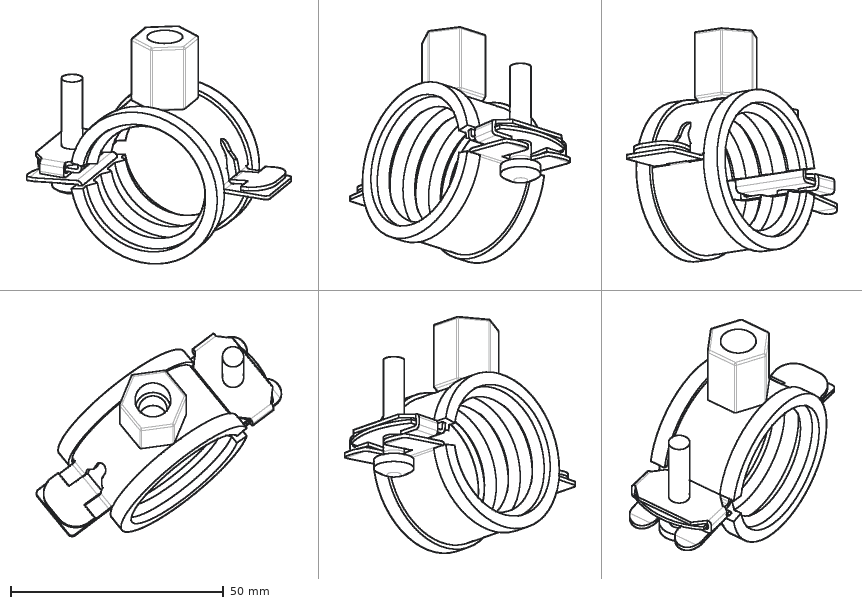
import cadquery as cq
import math

SHEET = 0.95
GAP_ANGLE = 10.0

LINER_WIDTH = 24.0
FLANGE_RADIUS = 19.0
STRAP_RADIUS = 18.0
STRAP_WIDTH = 15.95
STRAP_INNER_RADIUS = STRAP_RADIUS - SHEET
LINER_VALLEY_RADIUS = 15.95
LINER_RIDGE_RADIUS = 14.0
LINER_RIDGES = 3

SCREW_X = -24.0
SCREW_DIAMETER = 5.0
SCREW_TOP = 19.5
THREAD_BOTTOM = -3.8
NECK_TOP = -4.6
NECK_DIAMETER = 4.7
HEAD_TOP = -5.55
HEAD_RIM = -7.6
DOME_RADIUS = 7.5
DOME_FLAT_RADIUS = 1.6
HEAD_DIAMETER = 9.5

NUT_FLATS = 13.85
NUT_LENGTH = 15.95
NUT_EDGE_RADIUS = 0.5
NUT_UPPER_BORE = 8.35
NUT_LOWER_BORE = 6.7

PLATE_BOTTOM = 0.05
PLATE_TOP = PLATE_BOTTOM + SHEET

EAR_WIDTH = 20.1
EAR_END_X = -30.85
EAR_CORNER_X = -28.2
EAR_BEND_RADIUS = 0.5

HINGE_WIDTH = 14.0
HINGE_END_X = 29.95
HINGE_CORNER_RADIUS = 1.1
HINGE_BEND_RADIUS = 0.75

NECK_WIDTH = 5.8
HOOK_TILT = 6.0
HOOK_HEAD_X = 22.8
HOOK_END_X = 29.8
HOOK_CORNER_RADIUS = 5.0
SLOT_END_X = 19.0
KEYHOLE_WIDTH = 3.0
KEYHOLE_TOP = 10.5
KEYHOLE_TAPER_TOP = 7.1
KEYHOLE_TAPER_BOTTOM = 4.6

FINGER_WIDTH = 7.0
FINGER_TILT = 6.0
FINGER_END_X = -32.4
FINGER_BEND_RADIUS = 0.45
FINGER_LENGTH = 12.2
TIP_TILT = 19.0
TIP_LENGTH = 2.5

CLIP_TOP = 2.5
CLIP_LENGTH = 11.85
CLIP_HEIGHT = 3.85
CLIP_WIDTH = 23.1
CLIP_FLAT_WIDTH = 20.8
CLIP_CORNER = 2.8
CLIP_SIDE_LENGTH = 6.25
CLIP_LIP_GAP = 10.9
CLIP_OUTER_BEND = 1.0
CLIP_INNER_BEND = 0.75

TRIM_HEIGHT = 62.35


def polar(radius, angle, centre=(0.0, 0.0)):
    """Point at an angle in degrees around a centre."""
    turn = math.radians(angle)
    return (centre[0] + radius * math.cos(turn), centre[1] + radius * math.sin(turn))


def centred_extrusion(profile, width):
    """Extrude an XZ profile by the same amount to both sides of the XZ plane."""
    return profile.extrude(width / 2, both=True)


def ring_sector(start, end, width):
    """Strap arc between two angles."""
    middle = (start + end) / 2
    profile = (
        cq.Workplane("XZ")
        .moveTo(*polar(STRAP_RADIUS, start))
        .threePointArc(polar(STRAP_RADIUS, middle), polar(STRAP_RADIUS, end))
        .lineTo(*polar(STRAP_INNER_RADIUS, end))
        .threePointArc(polar(STRAP_INNER_RADIUS, middle), polar(STRAP_INNER_RADIUS, start))
        .close()
    )
    return centred_extrusion(profile, width)


def bent_tab(bend_angle, bend_radius, width, length, tilt=0.0, tip_length=0.0, tip_tilt=0.0):
    """Sheet that leaves the ring at bend_angle on the +X side, below the arc it continues.

    It bends outward, runs straight at the tilt and may end in a tip at a second tilt.
    """
    centre = polar(STRAP_RADIUS + bend_radius, bend_angle)
    outer_radius = bend_radius + SHEET
    start = 180 + bend_angle
    end = 270 + tilt
    middle = (start + end) / 2

    near_face = [polar(length, tilt, polar(bend_radius, end, centre))]
    far_face = [polar(SHEET, end, near_face[0])]
    if tip_length:
        half_turn = (tip_tilt - tilt) / 2
        mitre = SHEET / math.cos(math.radians(half_turn))
        far_face = [polar(mitre, end + half_turn, near_face[0])]
        near_face.append(polar(tip_length, tip_tilt, near_face[0]))
        far_face.append(polar(SHEET, 270 + tip_tilt, near_face[1]))

    profile = (
        cq.Workplane("XZ")
        .moveTo(*polar(bend_radius, start, centre))
        .threePointArc(polar(bend_radius, middle, centre), polar(bend_radius, end, centre))
    )
    for point in near_face + far_face[::-1]:
        profile = profile.lineTo(*point)
    profile = (
        profile.lineTo(*polar(outer_radius, end, centre))
        .threePointArc(polar(outer_radius, middle, centre), polar(outer_radius, start, centre))
        .close()
    )
    return centred_extrusion(profile, width)


def plan_prism(outline):
    """Tall vertical prism over a plan outline, for trimming tabs."""
    return outline.extrude(TRIM_HEIGHT, both=True)


def bend_angle_for(face_z, bend_radius):
    """Ring angle where a level tab has to start so that its far face lies at face_z."""
    return math.degrees(math.asin((face_z + bend_radius + SHEET) / (STRAP_RADIUS + bend_radius)))


def make_liner():
    half_width = LINER_WIDTH / 2
    half_strap = STRAP_WIDTH / 2
    pitch = LINER_WIDTH / LINER_RIDGES
    profile = [
        (LINER_VALLEY_RADIUS, half_width),
        (FLANGE_RADIUS, half_width),
        (FLANGE_RADIUS, half_strap),
        (STRAP_INNER_RADIUS, half_strap),
        (STRAP_INNER_RADIUS, -half_strap),
        (FLANGE_RADIUS, -half_strap),
        (FLANGE_RADIUS, -half_width),
        (LINER_VALLEY_RADIUS, -half_width),
    ]
    for ridge in range(LINER_RIDGES):
        ridge_y = -half_width + (ridge + 0.5) * pitch
        profile += [
            (LINER_VALLEY_RADIUS, ridge_y - pitch / 4),
            (LINER_RIDGE_RADIUS, ridge_y),
            (LINER_VALLEY_RADIUS, ridge_y + pitch / 4),
        ]
    ring = cq.Workplane("XY").polyline(profile).close().revolve(360, (0, 0, 0), (0, 1, 0))
    opening = (
        cq.Workplane("XZ")
        .moveTo(0, 0)
        .lineTo(*polar(2 * FLANGE_RADIUS, 180 - GAP_ANGLE))
        .lineTo(*polar(2 * FLANGE_RADIUS, 180 + GAP_ANGLE))
        .close()
    )
    return ring.cut(centred_extrusion(opening, 2 * LINER_WIDTH))


def make_upper_strap():
    ear_angle = bend_angle_for(PLATE_BOTTOM, EAR_BEND_RADIUS)
    hinge_angle = bend_angle_for(PLATE_BOTTOM, HINGE_BEND_RADIUS)

    ear_outline = (
        cq.Workplane("XY")
        .moveTo(0, EAR_WIDTH / 2)
        .lineTo(EAR_CORNER_X, EAR_WIDTH / 2)
        .threePointArc((EAR_END_X, 0), (EAR_CORNER_X, -EAR_WIDTH / 2))
        .lineTo(0, -EAR_WIDTH / 2)
        .close()
    )
    ear = bent_tab(ear_angle, EAR_BEND_RADIUS, EAR_WIDTH, -EAR_END_X).mirror("YZ")
    ear = ear.intersect(plan_prism(ear_outline))
    ear_root = ring_sector(180 - GAP_ANGLE, 180 - ear_angle, EAR_WIDTH)

    hinge_outline = cq.Workplane("XY").rect(2 * HINGE_END_X, HINGE_WIDTH)
    hinge_prism = plan_prism(hinge_outline).edges("|Z").fillet(HINGE_CORNER_RADIUS)
    hinge = bent_tab(hinge_angle, HINGE_BEND_RADIUS, HINGE_WIDTH, HINGE_END_X)
    hinge = hinge.intersect(hinge_prism)

    strap = ring_sector(hinge_angle, 180 - GAP_ANGLE, STRAP_WIDTH)
    strap = strap.union(ear_root).union(ear).union(hinge)
    screw_hole = cq.Workplane("XY").center(SCREW_X, 0).circle(SCREW_DIAMETER / 2)
    return strap.cut(plan_prism(screw_hole)).cut(keyhole())


def keyhole():
    """Slot in the hinge wall that lets the hook through and narrows to a round top."""
    half_neck = NECK_WIDTH / 2
    half_key = KEYHOLE_WIDTH / 2
    return (
        cq.Workplane("YZ")
        .moveTo(-half_neck, 0)
        .lineTo(-half_neck, KEYHOLE_TAPER_BOTTOM)
        .lineTo(-half_key, KEYHOLE_TAPER_TOP)
        .lineTo(-half_key, KEYHOLE_TOP - half_key)
        .threePointArc((0, KEYHOLE_TOP), (half_key, KEYHOLE_TOP - half_key))
        .lineTo(half_key, KEYHOLE_TAPER_TOP)
        .lineTo(half_neck, KEYHOLE_TAPER_BOTTOM)
        .lineTo(half_neck, 0)
        .close()
        .extrude(SLOT_END_X)
    )


def make_fingers():
    """Two round-ended fingers that straddle the screw and droop at the tip."""
    sheet = bent_tab(GAP_ANGLE, FINGER_BEND_RADIUS, EAR_WIDTH, FINGER_LENGTH,
                     FINGER_TILT, TIP_LENGTH, TIP_TILT)
    sheet = sheet.mirror("YZ").mirror("XY")
    slot_width = EAR_WIDTH - 2 * FINGER_WIDTH
    root = cq.Workplane("XY").rect(-2 * SCREW_X - slot_width, EAR_WIDTH)
    outline = plan_prism(root)
    for side in (-1, 1):
        y = side * (EAR_WIDTH - FINGER_WIDTH) / 2
        finger = cq.Workplane("XY").center(0, y).slot2D(-2 * FINGER_END_X, FINGER_WIDTH)
        outline = outline.union(plan_prism(finger))
    slot = cq.Workplane("XY").center(2 * SCREW_X, 0).slot2D(-2 * SCREW_X + slot_width, slot_width)
    return sheet.intersect(outline.cut(plan_prism(slot)))


def make_hook():
    """T-shaped tongue that passes up through the keyhole and over the hinge plate."""
    sheet = bent_tab(0, PLATE_TOP, HINGE_WIDTH, HINGE_END_X, -HOOK_TILT).mirror("XY")
    neck = cq.Workplane("XY").rect(2 * HOOK_HEAD_X, NECK_WIDTH)
    head_length = HOOK_END_X - HOOK_HEAD_X
    head = cq.Workplane("XY").center(HOOK_END_X - head_length / 2, 0).rect(head_length, HINGE_WIDTH)
    head_prism = plan_prism(head).edges("|Z and >X").fillet(HOOK_CORNER_RADIUS)
    return sheet.intersect(plan_prism(neck).union(head_prism))


def make_lower_strap():
    strap = ring_sector(180 + GAP_ANGLE, 360, STRAP_WIDTH)
    return strap.union(make_fingers()).union(make_hook())


def make_nut():
    """Hexagon nut standing on the upper strap, with a larger bore above a smaller one."""
    nut = (
        cq.Workplane("XY", origin=(0, 0, STRAP_RADIUS))
        .polygon(6, NUT_FLATS, circumscribed=True)
        .extrude(NUT_LENGTH)
        .edges()
        .fillet(NUT_EDGE_RADIUS)
    )
    nut = nut.faces(">Z").workplane(origin=(0, 0, 0)).hole(NUT_LOWER_BORE)
    return nut.faces(">Z").workplane(origin=(0, 0, 0)).hole(NUT_UPPER_BORE, NUT_LENGTH / 2)


def make_screw():
    shank_radius = SCREW_DIAMETER / 2
    neck_radius = NECK_DIAMETER / 2
    head_radius = HEAD_DIAMETER / 2
    dome_centre = (0, HEAD_RIM + math.sqrt(DOME_RADIUS**2 - head_radius**2))
    rim_angle = math.degrees(math.asin(head_radius / DOME_RADIUS))
    flat_angle = math.degrees(math.asin(DOME_FLAT_RADIUS / DOME_RADIUS))
    middle_point = polar(DOME_RADIUS, 270 + (rim_angle + flat_angle) / 2, dome_centre)
    flat_point = polar(DOME_RADIUS, 270 + flat_angle, dome_centre)
    profile = (
        cq.Workplane("XZ", origin=(SCREW_X, 0, 0))
        .moveTo(0, SCREW_TOP)
        .lineTo(shank_radius, SCREW_TOP)
        .lineTo(shank_radius, THREAD_BOTTOM)
        .lineTo(neck_radius, NECK_TOP)
        .lineTo(neck_radius, HEAD_TOP)
        .lineTo(head_radius, HEAD_TOP)
        .lineTo(head_radius, HEAD_RIM)
        .threePointArc(middle_point, flat_point)
        .lineTo(0, flat_point[1])
        .close()
    )
    return profile.revolve(360, (0, 0, 0), (0, 1, 0))


def make_clip():
    """C-shaped sheet that wraps the ear of the upper strap and holds the screw."""
    middle_z = CLIP_TOP - CLIP_HEIGHT / 2
    centre = (SCREW_X, 0, middle_z)
    outside = cq.Workplane("XY", origin=centre).box(CLIP_LENGTH, CLIP_WIDTH, CLIP_HEIGHT)
    outside = outside.edges("|X").fillet(CLIP_OUTER_BEND)
    inside = cq.Workplane("XY", origin=centre).box(
        CLIP_LENGTH, CLIP_WIDTH - 2 * SHEET, CLIP_HEIGHT - 2 * SHEET
    )
    inside = inside.edges("|X").fillet(CLIP_INNER_BEND)
    lip_gap = cq.Workplane("XY", origin=(SCREW_X, 0, CLIP_TOP - CLIP_HEIGHT)).box(
        CLIP_LENGTH, CLIP_LIP_GAP, 2 * SHEET
    )
    plate = cq.Workplane("XY").center(SCREW_X, 0).rect(CLIP_LENGTH, CLIP_FLAT_WIDTH)
    plate_prism = plan_prism(plate).edges("|Z").chamfer(CLIP_CORNER)
    upper_half = cq.Workplane("XY", origin=(SCREW_X, 0, CLIP_TOP)).box(CLIP_LENGTH, CLIP_WIDTH, CLIP_HEIGHT)
    plate_prism = plate_prism.intersect(upper_half)
    sides = cq.Workplane("XY").center(SCREW_X, 0).rect(CLIP_SIDE_LENGTH, CLIP_WIDTH)
    outline = plate_prism.union(plan_prism(sides))
    screw_hole = cq.Workplane("XY").center(SCREW_X, 0).circle(SCREW_DIAMETER / 2)
    return outside.cut(inside).cut(lip_gap).intersect(outline).cut(plan_prism(screw_hole))


liner = make_liner()
upper_strap = make_upper_strap()
lower_strap = make_lower_strap()
nut = make_nut()
screw = make_screw()
clip = make_clip()

bodies = [liner, upper_strap, lower_strap, nut, screw, clip]
result = cq.Compound.makeCompound([body.solids().val() for body in bodies])